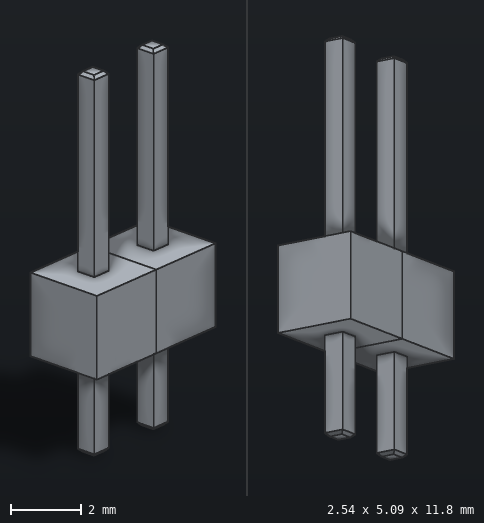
import cadquery as cq

total_height = 11.8
row_length = 5.09
unit_count = 2
pitch = row_length / unit_count

block_width = 2.54
block_height = 2.6
pin_below_block = 3.0

pin_width = 0.63
tip_inset = 0.1
tip_height = 0.1


def make_pin():
    """Square pin standing on Z = 0, with all edges of both tips chamfered."""
    tip_width = pin_width - 2 * tip_inset
    shaft_height = total_height - 2 * tip_height
    shaft_top = total_height - tip_height
    shaft = (
        cq.Workplane("XY")
        .workplane(offset=tip_height)
        .rect(pin_width, pin_width)
        .extrude(shaft_height)
    )
    lower_tip = (
        cq.Workplane("XY")
        .rect(tip_width, tip_width)
        .workplane(offset=tip_height)
        .rect(pin_width, pin_width)
        .loft(ruled=True)
    )
    upper_tip = (
        cq.Workplane("XY")
        .workplane(offset=shaft_top)
        .rect(pin_width, pin_width)
        .workplane(offset=tip_height)
        .rect(tip_width, tip_width)
        .loft(ruled=True)
    )
    return shaft.union(lower_tip).union(upper_tip)


def make_header_unit(y_center):
    """One header position: a block in one piece with its pin."""
    block = (
        cq.Workplane("XY")
        .workplane(offset=pin_below_block)
        .rect(block_width, pitch)
        .extrude(block_height)
    )
    return block.union(make_pin()).translate((0, y_center, 0))


header_units = []
for index in range(unit_count):
    y_center = (index - (unit_count - 1) / 2) * pitch
    header_units.append(make_header_unit(y_center).val())

result = cq.Compound.makeCompound(header_units)